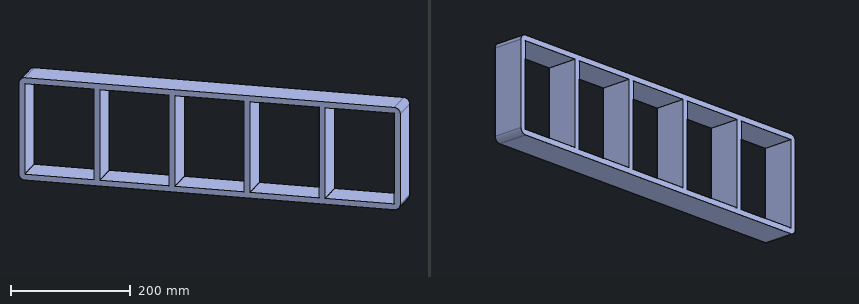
import cadquery as cq

length = 662.5
depth = 60.0
height = 179.5

wall = 10.5
corner_radius = 10.5
opening_count = 5
opening_width = (length - (opening_count + 1) * wall) / opening_count
opening_height = height - 2 * wall
opening_pitch = opening_width + wall

block = cq.Workplane("XY").box(length, depth, height).edges("|Y").fillet(corner_radius)

openings = (
    cq.Workplane("XZ")
    .rarray(opening_pitch, 6.5, opening_count, 1)
    .rect(opening_width, opening_height)
    .extrude(depth, both=True)
)

result = block.cut(openings)